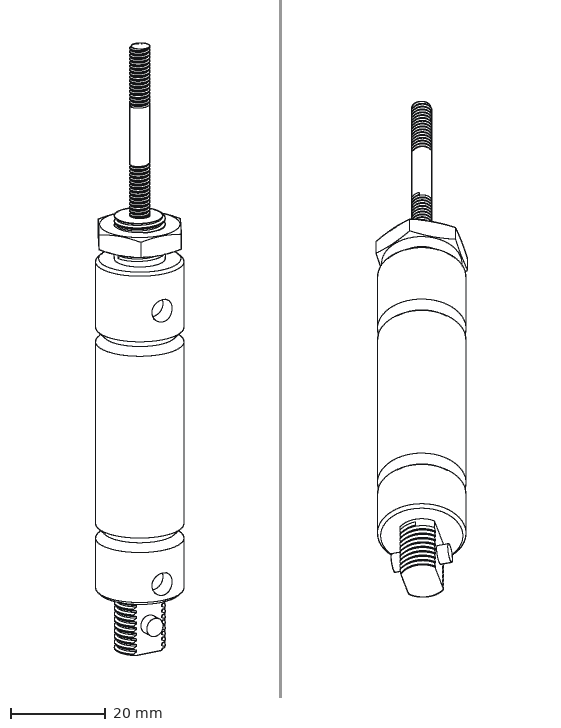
import cadquery as cq
import math


barrel_dia = 18.7
barrel_bottom_z = 12.8
barrel_top_z = 87.3
barrel_chamfer = 0.7
crimp_depth = 1.6
crimp_heights = (26.3, 70.3)

port_dia = 5.0
port_depth = 4.0
port_heights = (17.1, 78.4)

stud_dia = 10.8
stud_pitch = 1.25
stud_top_z = 97.0
front_neck = 1.0
rear_neck = 0.7
rear_flat_width = 7.5

rod_dia = 4.3
rod_pitch = 0.8
rod_top_z = 134.9
rod_plain_bottom_z = 109.0
rod_plain_top_z = 121.5

nut_across_corners = 20.1
nut_bottom_z = 90.5
nut_height = 4.5
nut_face_dia = 17.0
nut_chamfer_height = 0.5

pin_dia = 4.0
pin_length = 12.4
pin_z = 6.5

groove_depth_ratio = 0.43
groove_mouth_ratio = 0.85
groove_root_ratio = 0.25


def cylinder(diameter, bottom_z, top_z):
    """Upright cylinder on the Z axis."""
    return cq.Workplane("XY").workplane(offset=bottom_z).circle(diameter / 2).extrude(top_z - bottom_z)


def thread_groove(diameter, pitch, length):
    """Right-handed helical groove on a shaft of the given diameter, rising from Z = 0 at the -Y side."""
    radius = diameter / 2
    overshoot = 0.1 * pitch
    root_radius = radius - groove_depth_ratio * pitch
    half_root = groove_root_ratio * pitch / 2
    half_mouth = groove_mouth_ratio * pitch / 2
    flank_slope = (half_mouth - half_root) / (radius - root_radius)
    half_outer = half_mouth + flank_slope * overshoot
    start_z = pitch / 2
    path = cq.Wire.makeHelix(pitch, length, radius)
    profile = (
        cq.Workplane("XZ")
        .polyline([
            (root_radius, -half_root),
            (radius + overshoot, -half_outer),
            (radius + overshoot, half_outer),
            (root_radius, half_root),
        ])
        .close()
    )
    groove = profile.sweep(cq.Workplane(path), isFrenet=True)
    return groove.rotate((0, 0, 0), (0, 0, 1), -90).translate((0, 0, start_z))


def threaded_end(diameter, pitch, neck_z, end_z):
    """Shaft length from neck_z to end_z (above or below it), threaded right out through end_z."""
    length = abs(end_z - neck_z)
    runout = 2 * pitch
    blank = cylinder(diameter, 0, length + 2 * runout)
    threaded = blank.cut(thread_groove(diameter, pitch, length + runout / 2))
    shaft = threaded.intersect(cylinder(2 * diameter, 0, length))
    if end_z < neck_z:
        shaft = shaft.rotate((0, 0, 0), (1, 0, 0), 180)
    return shaft.translate((0, 0, neck_z))


def make_barrel():
    """Barrel with chamfered ends and a V-shaped crimp groove near each end cap."""
    radius = barrel_dia / 2
    barrel = cylinder(barrel_dia, barrel_bottom_z, barrel_top_z).edges().chamfer(barrel_chamfer)
    for crimp_z in crimp_heights:
        crimp = (
            cq.Workplane("XZ")
            .polyline([
                (radius - crimp_depth, crimp_z),
                (radius, crimp_z - crimp_depth),
                (radius + crimp_depth, crimp_z - crimp_depth),
                (radius + crimp_depth, crimp_z + crimp_depth),
                (radius, crimp_z + crimp_depth),
            ])
            .close()
            .revolve(360, (0, 0, 0), (0, 1, 0))
        )
        barrel = barrel.cut(crimp)
    return barrel


def make_ports():
    """Drillings that run inward from the +X side of the barrel."""
    ports = cq.Workplane("YZ", origin=(barrel_dia / 2 - port_depth, 0, 0))
    return ports.pushPoints([(0, z) for z in port_heights]).circle(port_dia / 2).extrude(2 * port_depth)


def make_front_stud():
    """Threaded stud that carries the nut, with a plain neck next to the barrel."""
    neck_z = barrel_top_z + front_neck
    neck = cylinder(stud_dia, barrel_top_z, neck_z)
    return neck.union(threaded_end(stud_dia, stud_pitch, neck_z, stud_top_z))


def make_rear_stud():
    """Threaded stud with two flats across X and a cross hole for the clevis pin."""
    neck_z = barrel_bottom_z - rear_neck
    neck = cylinder(stud_dia, neck_z, barrel_bottom_z)
    stud = neck.union(threaded_end(stud_dia, stud_pitch, neck_z, 0))
    flats = cq.Workplane("XY").box(rear_flat_width, stud_dia, barrel_bottom_z, centered=(True, True, False))
    return stud.intersect(flats).cut(make_pin())


def make_housing():
    """Barrel and both studs in one piece, bored for the piston rod."""
    housing = make_barrel().cut(make_ports()).union(make_front_stud()).union(make_rear_stud())
    return housing.cut(cylinder(rod_dia, barrel_top_z, stud_top_z))


def make_rod():
    """Piston rod threaded at its free end and where it leaves the housing, plain between."""
    root = cylinder(rod_dia, barrel_top_z, stud_top_z)
    lower_thread = threaded_end(rod_dia, rod_pitch, rod_plain_bottom_z, stud_top_z)
    plain = cylinder(rod_dia, rod_plain_bottom_z, rod_plain_top_z)
    upper_thread = threaded_end(rod_dia, rod_pitch, rod_plain_top_z, rod_top_z)
    return root.union(lower_thread).union(plain).union(upper_thread)


def make_nut():
    """Hexagon nut with corners on the Y axis, rounded off at both faces, that fits the stud crests."""
    half_corners = nut_across_corners / 2
    rounding = (
        cq.Workplane("XZ")
        .polyline([
            (0, 0),
            (nut_face_dia / 2, 0),
            (half_corners, nut_chamfer_height),
            (half_corners, nut_height - nut_chamfer_height),
            (nut_face_dia / 2, nut_height),
            (0, nut_height),
        ])
        .close()
        .revolve(360, (0, 0, 0), (0, 1, 0))
    )
    hexagon = cq.Workplane("XY").polygon(6, nut_across_corners).extrude(nut_height)
    hexagon = hexagon.rotate((0, 0, 0), (0, 0, 1), 90)
    nut = hexagon.intersect(rounding).translate((0, 0, nut_bottom_z))
    return nut.cut(cylinder(stud_dia, nut_bottom_z, nut_bottom_z + nut_height))


def make_pin():
    """Clevis pin through the rear stud, along X."""
    return cq.Workplane("YZ").center(0, pin_z).circle(pin_dia / 2).extrude(pin_length / 2, both=True)


housing = make_housing()
rod = make_rod()
nut = make_nut()
pin = make_pin()

bodies = [body.solids().val() for body in (housing, rod, nut, pin)]
result = cq.Compound.makeCompound(bodies)